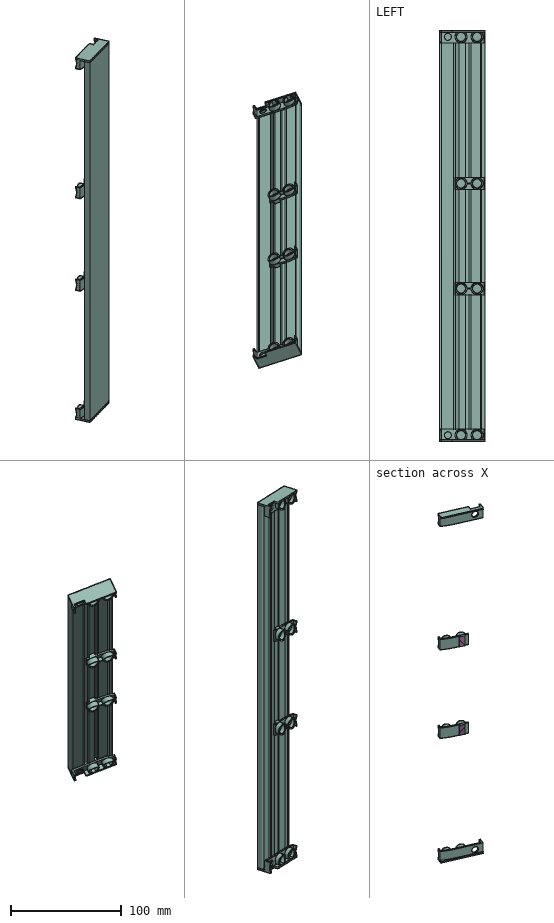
import cadquery as cq
import math

LENGTH = 371.5
WIDTH = 41.5
DEPTH = 14.5
SIDE = WIDTH / 2

BRACKET_HEIGHT = 11.0
FLOOR_X = 5.0
WEB_THICKNESS = 1.67
LIP_THICKNESS = 1.0
CURVE_START_Y = -7.5
BEND_RADIUS = 55.7

CUP_OUTER_DIAMETER = 10.8
CUP_INNER_DIAMETER = 8.0
CUP_YS = (1.0, -13.5)
RIB_THICKNESS = 0.7

TROUGH_DEPTH = 1.0
TROUGH_WIDTH = 9.5
TROUGH_RADIUS = (TROUGH_WIDTH**2 / 4 + TROUGH_DEPTH**2) / (2 * TROUGH_DEPTH)

PLATE_THICKNESS = 2.0
NOTCH_DEPTH = 4.0
NOTCH_Y = 9.3
NOTCH_CORNER_RADIUS = 1.0
PRONG_TIP = 1.5
PRONG_ROOT = 2.0
SCREW_HOLE_DIAMETER = 6.5
SCREW_HOLE_Y = 13.0
CAP_CENTRE_Z = (LENGTH - BRACKET_HEIGHT) / 2

CLIP_CENTRE_Z = 47.5
CLIP_EDGE_Y = CUP_YS[0] + CUP_OUTER_DIAMETER / 2

RAIL_LENGTH = LENGTH - 2 * PLATE_THICKNESS
RAIL_FRONT_X = 8.5
RAIL_FLOOR_X = 10.8
RAIL_CORNER_DIAMETER = 2.7
RIDGE_TOP_HALF = 2.8
RIDGE_FOOT_HALF = 7.8
RIDGE_SLOPE_ANGLE = 24.0
GROOVE_OUTER_HALF = 6.5
GROOVE_DEPTH = 3.5
RAIL_LIP_INNER_Y = 18.5
RAIL_STEP_TOP_Y = -17.5
RAIL_STEP_FOOT_Y = -16.7


def ridge_flank(side):
    """Points of one ridge flank from its foot to its top: a slope with a parallel-bottomed groove."""
    def slope_x(distance):
        return RAIL_FLOOR_X - (RIDGE_FOOT_HALF - distance) * math.tan(math.radians(RIDGE_SLOPE_ANGLE))

    return [
        (RAIL_FLOOR_X, side * RIDGE_FOOT_HALF),
        (slope_x(GROOVE_OUTER_HALF), side * GROOVE_OUTER_HALF),
        (slope_x(GROOVE_OUTER_HALF) + GROOVE_DEPTH, side * GROOVE_OUTER_HALF),
        (slope_x(RIDGE_TOP_HALF) + GROOVE_DEPTH, side * RIDGE_TOP_HALF),
        (RAIL_FRONT_X, side * RIDGE_TOP_HALF),
    ]


def make_rail():
    """Extruded tray section: a lip on each side and a grooved ridge in the middle."""
    section = [
        (DEPTH, -SIDE),
        (DEPTH, SIDE),
        (RAIL_FRONT_X, SIDE),
        (RAIL_FRONT_X, RAIL_LIP_INNER_Y),
        (RAIL_FLOOR_X, RAIL_LIP_INNER_Y),
        *ridge_flank(1),
        *reversed(ridge_flank(-1)),
        (RAIL_FLOOR_X, RAIL_STEP_FOOT_Y),
        (RAIL_FRONT_X, RAIL_STEP_TOP_Y),
        (RAIL_FRONT_X, -SIDE),
    ]
    rail = cq.Workplane("XY").polyline(section).close().extrude(RAIL_LENGTH / 2, both=True)
    return rail.edges("|Z and (<Y or >Y)").edges("<X").fillet(RAIL_CORNER_DIAMETER / 2)


def bend_point(radius, flat_x, y):
    """Point at y on the bend of the web, for the arc that leaves the flat face at flat_x."""
    run = CURVE_START_Y - y
    return (flat_x - radius + math.sqrt(radius**2 - run**2), y)


def make_web(edge_y):
    """Thin web from edge_y to the -Y side, bending evenly forwards into the lip."""
    inner_y = LIP_THICKNESS - SIDE
    outer_y = -SIDE
    back_x = FLOOR_X + WEB_THICKNESS
    back_radius = BEND_RADIUS + WEB_THICKNESS
    front_middle = bend_point(BEND_RADIUS, FLOOR_X, (CURVE_START_Y + inner_y) / 2)
    front_end = bend_point(BEND_RADIUS, FLOOR_X, inner_y)
    back_middle = bend_point(back_radius, back_x, (CURVE_START_Y + outer_y) / 2)
    back_end = bend_point(back_radius, back_x, outer_y)
    return (
        cq.Workplane("XY")
        .moveTo(back_x, edge_y)
        .lineTo(FLOOR_X, edge_y)
        .lineTo(FLOOR_X, CURVE_START_Y)
        .threePointArc(front_middle, front_end)
        .lineTo(0, inner_y)
        .lineTo(0, outer_y)
        .lineTo(*back_end)
        .threePointArc(back_middle, (back_x, CURVE_START_Y))
        .close()
        .extrude(BRACKET_HEIGHT / 2, both=True)
    )


def make_cups():
    """Two round walls standing on the web."""
    return (
        cq.Workplane("YZ")
        .pushPoints([(y, 0) for y in CUP_YS])
        .circle(CUP_OUTER_DIAMETER / 2)
        .circle(CUP_INNER_DIAMETER / 2)
        .extrude(FLOOR_X)
    )


def make_trough():
    """Cylinder along Y that hollows the tips of a bracket."""
    return (
        cq.Workplane("XZ")
        .center(TROUGH_DEPTH - TROUGH_RADIUS, 0)
        .circle(TROUGH_RADIUS)
        .extrude(SIDE, both=True)
    )


def make_clip():
    """Clip centred on Z = 0, with a foot that rests on the ridge of the rail."""
    cup_wall = (CUP_OUTER_DIAMETER - CUP_INNER_DIAMETER) / 2
    rib_length = CUP_YS[0] - CUP_YS[1] - CUP_OUTER_DIAMETER + cup_wall
    rib = cq.Workplane("XY").box(FLOOR_X, rib_length, RIB_THICKNESS).translate(
        (FLOOR_X / 2, sum(CUP_YS) / 2, 0)
    )
    web_back_x = FLOOR_X + WEB_THICKNESS
    foot_depth = RAIL_FRONT_X - web_back_x
    foot = cq.Workplane("XY").box(foot_depth, 2 * RIDGE_TOP_HALF, BRACKET_HEIGHT).translate(
        (web_back_x + foot_depth / 2, 0, 0)
    )
    clip = make_web(CLIP_EDGE_Y).union(foot).union(make_cups()).union(rib)
    return clip.cut(make_trough())


def make_cap():
    """Upper end cap with its bracket centred on Z = 0."""
    plate_bottom = BRACKET_HEIGHT / 2 - PLATE_THICKNESS
    prong = (
        cq.Workplane("XY")
        .polyline([(0, SIDE), (0, SIDE - PRONG_TIP), (FLOOR_X, SIDE - PRONG_ROOT), (FLOOR_X, SIDE)])
        .close()
        .extrude(BRACKET_HEIGHT / 2, both=True)
    )
    plate = (
        cq.Workplane("XY")
        .workplane(offset=plate_bottom)
        .moveTo(DEPTH, -SIDE)
        .lineTo(DEPTH, SIDE)
        .lineTo(0, SIDE)
        .lineTo(0, SIDE - PRONG_TIP)
        .lineTo(NOTCH_DEPTH, SIDE - PRONG_ROOT)
        .lineTo(NOTCH_DEPTH, NOTCH_Y)
        .lineTo(NOTCH_CORNER_RADIUS, NOTCH_Y)
        .radiusArc((0, NOTCH_Y - NOTCH_CORNER_RADIUS), -NOTCH_CORNER_RADIUS)
        .lineTo(0, -SIDE)
        .close()
        .extrude(PLATE_THICKNESS)
    )
    screw_hole = (
        cq.Workplane("YZ", origin=(FLOOR_X, SCREW_HOLE_Y, 0))
        .circle(SCREW_HOLE_DIAMETER / 2)
        .extrude(WEB_THICKNESS)
    )
    cap = make_web(SIDE).union(prong).union(make_cups())
    return cap.cut(make_trough()).union(plate).cut(screw_hole)


rail = make_rail()
upper_clip = make_clip().translate((0, 0, CLIP_CENTRE_Z))
upper_cap = make_cap().translate((0, 0, CAP_CENTRE_Z))
brackets = []
for bracket in (upper_clip, upper_cap):
    brackets.append(bracket.val())
    brackets.append(bracket.mirror("XY").val())

result = cq.Compound.makeCompound([rail.val(), *brackets])